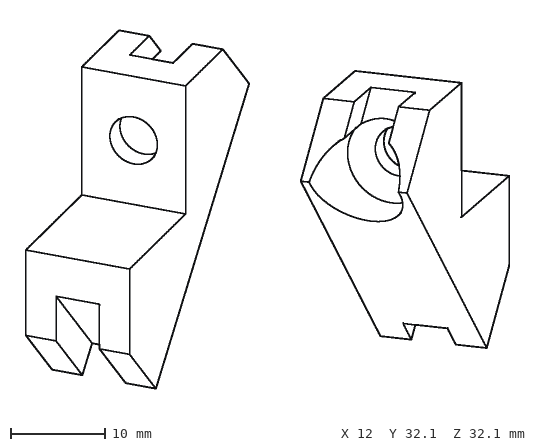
import cadquery as cq
import math

width = 12.0
arm_length = 15.0
arm_thickness = 10.0
bevel_length = 10.0
bevel = bevel_length / math.sqrt(2)
overall = arm_length + arm_thickness + bevel

hole_diameter = 5.5
head_diameter = 10.1
head_seat = 5.0
countersink_depth = (head_diameter - hole_diameter) / 2
hole_height = overall - arm_length / 2

slot_width = 5.0
slot_depth = 3.7


def body():
    """Side profile in the YZ plane, extruded symmetrically across the width."""
    profile = [
        (0, bevel),
        (0, bevel + arm_thickness),
        (arm_length, bevel + arm_thickness),
        (arm_length, overall),
        (arm_length + arm_thickness, overall),
        (overall, arm_length + arm_thickness),
        (bevel, 0),
    ]
    return cq.Workplane("YZ").polyline(profile).close().extrude(width / 2, both=True)


def screw_hole():
    """Plain hole, countersink cone and head bore, revolved about an axis parallel to Y."""
    hole_radius = hole_diameter / 2
    head_radius = head_diameter / 2
    seat_y = arm_length + head_seat
    bore_end_y = 2 * overall
    half_section = [
        (0, arm_length),
        (hole_radius, arm_length),
        (hole_radius, seat_y - countersink_depth),
        (head_radius, seat_y),
        (head_radius, bore_end_y),
        (0, bore_end_y),
    ]
    return (
        cq.Workplane("XY", origin=(0, 0, hole_height))
        .polyline(half_section)
        .close()
        .revolve(360, (0, 0), (0, 1))
    )


def bevel_slot(bevel_middle, inward):
    """Slot sunk into a bevel, open at both ends; inward is the signed YZ direction of its depth."""
    middle_y, middle_z = bevel_middle
    plane = cq.Plane(origin=(0, middle_y, middle_z), xDir=(1, 0, 0), normal=(0, inward, inward))
    return cq.Workplane(plane).rect(slot_width, overall).extrude(slot_depth)


lower_bevel_middle = (bevel / 2, bevel / 2)
upper_bevel_middle = (overall - bevel / 2, overall - bevel / 2)

result = (
    body()
    .cut(screw_hole())
    .cut(bevel_slot(lower_bevel_middle, 1))
    .cut(bevel_slot(upper_bevel_middle, -1))
)